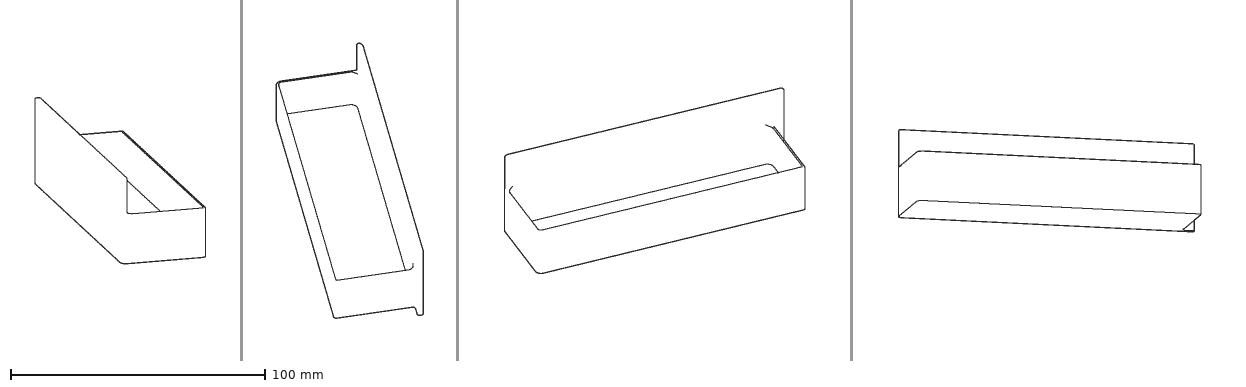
import cadquery as cq
import math

length = 120.0
depth = 35.0
height = 35.0

panel_thickness = 2.5
panel_overhang = 5.0
panel_end_radius = 1.0

tray_height = 20.0
wall = 1.0
floor = 2.0
right_corner_radius = 2.4
back_left_radius = 1.1

pocket_front_radius = 2.6
pocket_back_left_radius = 0.5
pocket_back_right_radius = right_corner_radius - wall

top_edge_radius = 0.5
joint_radius = 1.0

pick_margin = 0.06


def block(corner, size):
    return cq.Workplane("XY").box(*size, centered=False).translate(corner)


def make_panel():
    front_center_x = length - right_corner_radius
    rear_center_y = panel_thickness - panel_end_radius
    center_gap = right_corner_radius - panel_end_radius
    rise = right_corner_radius - rear_center_y
    run = math.sqrt(center_gap**2 - rise**2)
    rear_center_x = front_center_x + run
    meeting_angle = -math.atan2(rise, run)
    middle_angle = (meeting_angle - math.pi / 2) / 2

    def front_arc_point(angle):
        x = front_center_x + right_corner_radius * math.cos(angle)
        y = right_corner_radius + right_corner_radius * math.sin(angle)
        return (x, y)

    outline = (
        cq.Workplane("XY")
        .moveTo(panel_end_radius, 0)
        .lineTo(front_center_x, 0)
        .threePointArc(front_arc_point(middle_angle), front_arc_point(meeting_angle))
        .threePointArc(
            (rear_center_x + panel_end_radius, rear_center_y),
            (rear_center_x, panel_thickness),
        )
        .lineTo(panel_end_radius, panel_thickness)
        .radiusArc((0, rear_center_y), -panel_end_radius)
        .lineTo(0, panel_end_radius)
        .radiusArc((panel_end_radius, 0), -panel_end_radius)
        .close()
    )
    return outline.extrude(height).faces(">Z").edges().fillet(top_edge_radius)


def make_tray():
    tray = block((panel_overhang, 0, 0), (length - panel_overhang, depth, tray_height))
    tray = tray.edges("|Z and >X").fillet(right_corner_radius)
    tray = tray.edges("|Z and <X and >Y").fillet(back_left_radius)
    return tray.edges(">Z and (not <Y)").fillet(top_edge_radius)


def round_joint(body):
    joint_edges = cq.selectors.BoxSelector(
        (panel_overhang - pick_margin, panel_thickness - pick_margin, 0),
        (length, panel_thickness + pick_margin, tray_height + pick_margin),
    )
    return body.edges(joint_edges).fillet(joint_radius)


def make_pocket():
    pocket_length = length - panel_overhang - 2 * wall
    pocket_depth = depth - panel_thickness - wall
    pocket = block(
        (panel_overhang + wall, panel_thickness, floor),
        (pocket_length, pocket_depth, height - floor),
    )
    pocket = pocket.edges("|Z and <Y").fillet(pocket_front_radius)
    pocket = pocket.edges("|Z and >Y and >X").fillet(pocket_back_right_radius)
    return pocket.edges("|Z and >Y and <X").fillet(pocket_back_left_radius)


body = round_joint(make_panel().union(make_tray()))
result = body.cut(make_pocket())